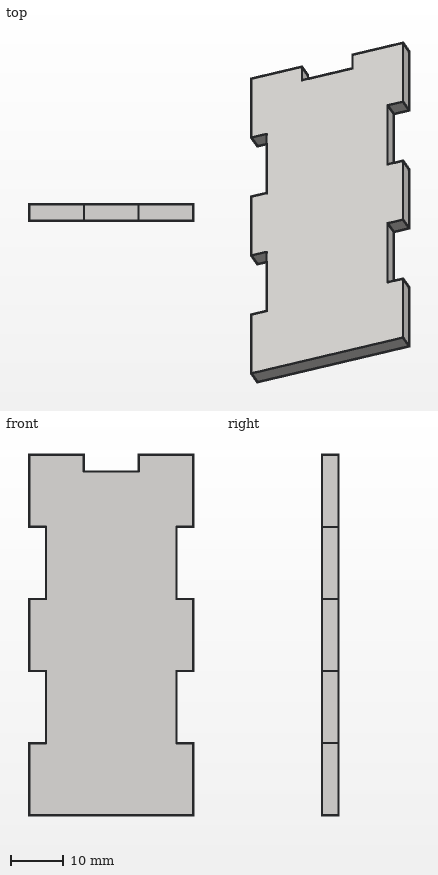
import cadquery as cq

width = 31.35
height = 68.89
thickness = 3.175

side_steps = 5
top_steps = 3
notch_depth = thickness
side_step = height / side_steps
top_step = width / top_steps


def make_panel():
    """Flat upright panel centred on the origin."""
    return cq.Workplane("XY").box(width, thickness, height)


def cut_side_notches(panel):
    """Notch both vertical edges at every second step."""
    notch = cq.Workplane("XY").box(2 * notch_depth, thickness, side_step)
    for side in (-1, 1):
        for step in range(1, side_steps, 2):
            z = -height / 2 + (step + 0.5) * side_step
            panel = panel.cut(notch.translate((side * width / 2, 0, z)))
    return panel


def cut_top_notch(panel):
    """Notch the middle step of the top edge."""
    notch = cq.Workplane("XY").box(top_step, thickness, 2 * notch_depth)
    return panel.cut(notch.translate((0, 0, height / 2)))


result = cut_top_notch(cut_side_notches(make_panel()))